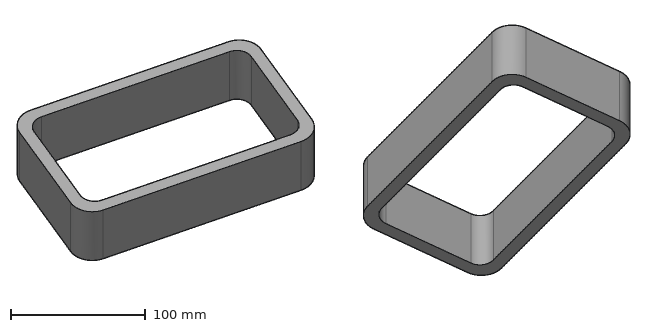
import cadquery as cq

width = 120.0
length = 200.0
height = 50.0

wall = 10.0
outer_radius = 18.0
inner_radius = 12.0


def rounded_block(size_x, size_y, corner_radius):
    """Block of full height with rounded vertical corners."""
    return cq.Workplane("XY").box(size_x, size_y, height).edges("|Z").fillet(corner_radius)


outer_block = rounded_block(width, length, outer_radius)
opening = rounded_block(width - 2 * wall, length - 2 * wall, inner_radius)

result = outer_block.cut(opening)